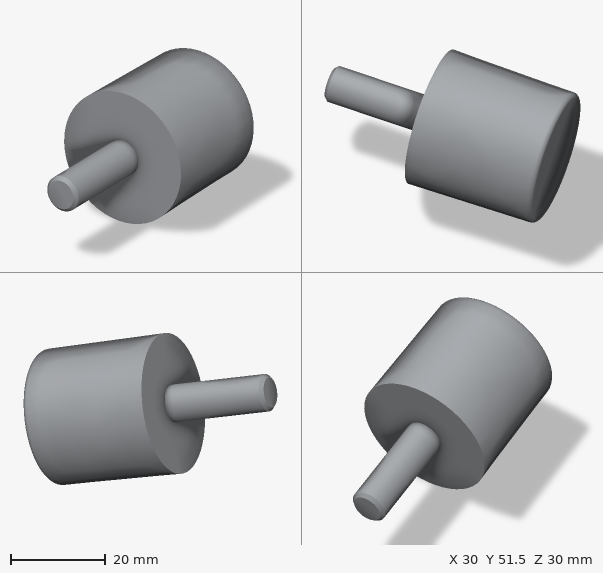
import cadquery as cq

body_length = 28.5
stud_length = 23.0

face_radius = 15.0
rear_radius = 14.5
rear_round = 1.0

stud_radius = 4.0
tip_chamfer = 0.77


def make_body():
    """Tapered body with its stud face at Y = 0 and its rounded end at +Y."""
    profile = (
        cq.Workplane("YZ")
        .lineTo(0, face_radius)
        .lineTo(body_length, rear_radius)
        .lineTo(body_length, 0)
        .close()
    )
    body = profile.revolve(360, (0, 0, 0), (1, 0, 0))
    return body.faces(">Y").edges().fillet(rear_round)


def make_stud():
    """Plain cylindrical stud pointing to -Y with a chamfered tip."""
    stud = cq.Workplane("XZ").circle(stud_radius).extrude(stud_length)
    return stud.faces("<Y").edges().chamfer(tip_chamfer)


result = make_body().union(make_stud())